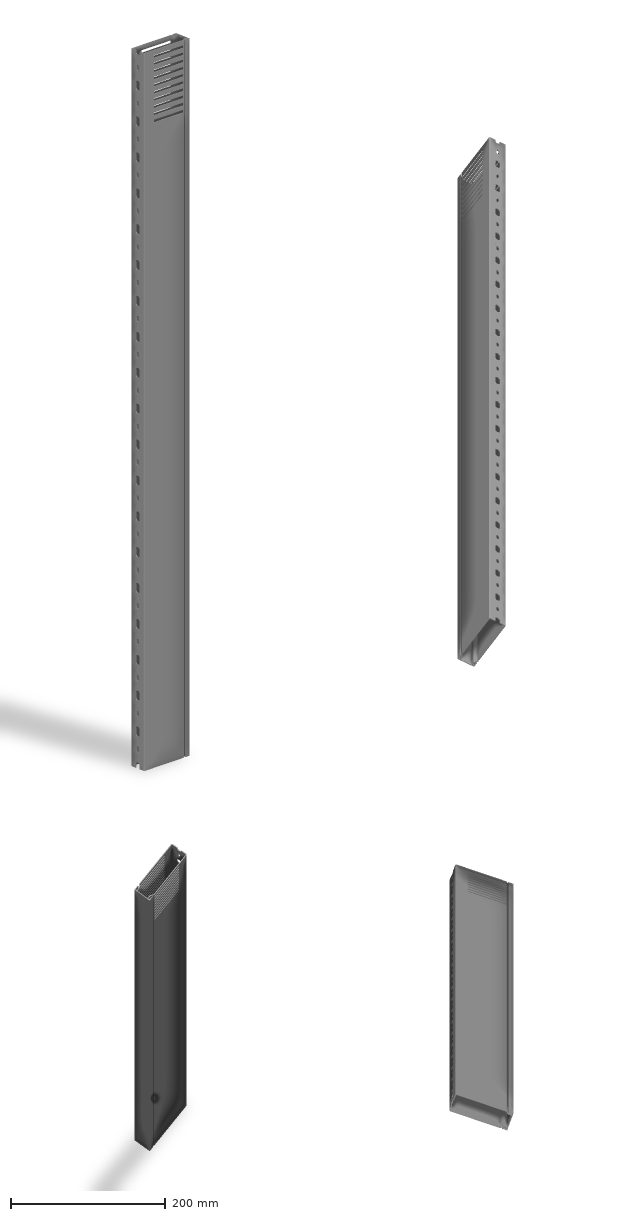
import cadquery as cq
import math

length = 1000.0
width = 25.0
depth = 80.0
half_width = width / 2
floor_y = -depth / 2
lid_y = depth / 2

lid_wall = 1.0
lid_leg_end_y = 33.0
lid_inner_radius = 1.5
lid_inner_y = lid_y - lid_wall
leg_inner_x = half_width - lid_wall

trough_wall = 1.2
slant_start_y = 30.3
slant_inset = 3.0
slant_angle = 36.0
floor_outer_radius = 1.7
floor_inner_radius = 1.5
trough_inner_x = half_width - trough_wall
floor_inner_y = floor_y + trough_wall
rim_x = half_width - slant_inset
rim_inner_x = rim_x - trough_wall
rim_start_y = slant_start_y + slant_inset / math.tan(math.radians(slant_angle))
inner_bend_drop = trough_wall * math.tan(math.radians(slant_angle / 2))
inner_slant_start_y = slant_start_y - inner_bend_drop

slot_count = 10
slot_pitch = 10.0
slot_height = 4.0
first_slot_gap = 7.0
slot_low_y = -23.0
slot_high_y = inner_slant_start_y

hole_pitch = 50.0
hole_shift = 1.4
large_hole_length = 14.0
large_hole_width = 7.0
small_hole_length = 8.0
small_hole_width = 4.0


def channel(half_profile):
    """Extrude a profile along Z; the points give its +X half and are mirrored for the other half."""
    other_half = [(-x, y) for x, y in reversed(half_profile)]
    return cq.Workplane("XY").polyline(half_profile + other_half).close().extrude(length)


def round_corners(body, x, y, radius):
    """Fillet the two full-length edges at (-x, y) and (x, y)."""
    for corner_x in (-x, x):
        corner = cq.selectors.NearestToPointSelector((corner_x, y, length / 2))
        body = body.edges("|Z").edges(corner).fillet(radius)
    return body


def floor_holes(hole_length, hole_width, first_z):
    """Cutter for a row of obround holes through the floor, from first_z past the upper end."""
    count = math.floor((length - first_z) / hole_pitch) + 2
    centres = [(0, first_z + i * hole_pitch) for i in range(count)]
    return (
        cq.Workplane("XZ", origin=(0, floor_inner_y, 0))
        .pushPoints(centres)
        .slot2D(hole_length, hole_width, 90)
        .extrude(trough_wall)
    )


def side_slots():
    """Cutter for the row of slots, passing through both side walls."""
    slot_length = slot_high_y - slot_low_y
    mid_y = (slot_low_y + slot_high_y) / 2
    first_z = length - first_slot_gap - slot_height / 2
    centres = [(0, mid_y, first_z - i * slot_pitch) for i in range(slot_count)]
    return cq.Workplane("XY").pushPoints(centres).box(width, slot_length, slot_height)


def make_trough():
    body = channel([
        (half_width, floor_y),
        (half_width, slant_start_y),
        (rim_x, rim_start_y),
        (rim_x, lid_inner_y),
        (rim_inner_x, lid_inner_y),
        (rim_inner_x, rim_start_y - inner_bend_drop),
        (trough_inner_x, inner_slant_start_y),
        (trough_inner_x, floor_inner_y),
    ])
    body = round_corners(body, half_width, floor_y, floor_outer_radius)
    body = round_corners(body, trough_inner_x, floor_inner_y, floor_inner_radius)
    body = body.cut(floor_holes(large_hole_length, large_hole_width, hole_shift))
    body = body.cut(floor_holes(small_hole_length, small_hole_width, hole_shift + hole_pitch / 2))
    return body.cut(side_slots())


def make_lid():
    body = channel([
        (half_width, lid_y),
        (half_width, lid_leg_end_y),
        (leg_inner_x, lid_leg_end_y),
        (leg_inner_x, lid_inner_y),
    ])
    return round_corners(body, leg_inner_x, lid_inner_y, lid_inner_radius)


trough = make_trough()
lid = make_lid()
result = cq.Compound.makeCompound([trough.solids().val(), lid.solids().val()])